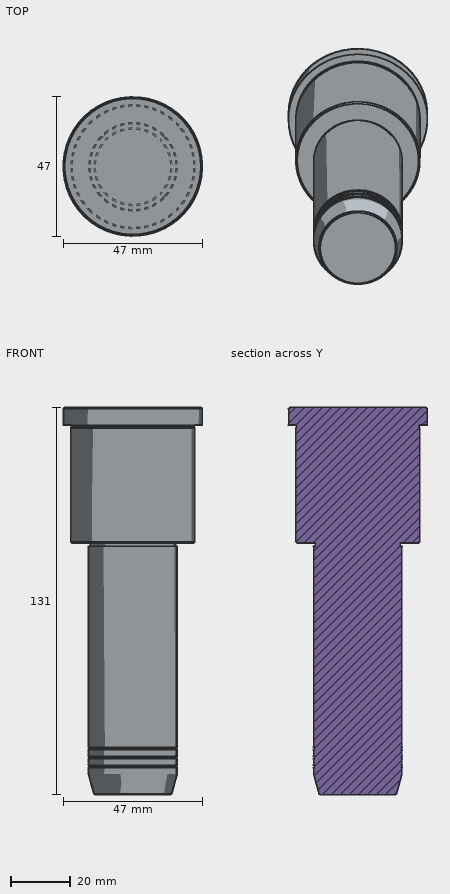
import cadquery as cq

total_length = 131.0
head_diameter = 47.0
head_height = 6.0
head_chamfer = 0.5
body_diameter = 42.0
body_end_depth = 46.0
body_chamfer = 0.5
pin_diameter = 30.0

relief_depth = 0.4
relief_width = 1.0
body_neck_diameter = 29.0
body_neck_width = 1.0

tip_diameter = 26.2
tip_height = 7.0
tip_chamfer = 0.4

groove_depth = 0.3
groove_width = 0.9
groove_pitch = 3.0
groove_count = 3
first_groove_z = 9.5

head_bottom_z = total_length - head_height
body_bottom_z = total_length - body_end_depth
overlap = 1.3


def cylinder(diameter, bottom_z, top_z):
    return cq.Workplane("XY").workplane(offset=bottom_z).circle(diameter / 2).extrude(top_z - bottom_z)


def ring(outer_diameter, floor_diameter, bottom_z, width):
    """Ring that cuts a square groove down to floor_diameter."""
    outer = cylinder(outer_diameter + 2 * overlap, bottom_z, bottom_z + width)
    return outer.cut(cylinder(floor_diameter, bottom_z, bottom_z + width))


def v_groove(diameter, centre_z, width, depth):
    """Revolved triangle that cuts a V into a cylinder of this diameter, squared off outside the surface."""
    surface_radius = diameter / 2
    half_width = width / 2
    return (
        cq.Workplane("XZ")
        .moveTo(surface_radius - depth, centre_z)
        .lineTo(surface_radius, centre_z + half_width)
        .lineTo(surface_radius + overlap, centre_z + half_width)
        .lineTo(surface_radius + overlap, centre_z - half_width)
        .lineTo(surface_radius, centre_z - half_width)
        .close()
        .revolve(360, (0, 0, 0), (0, 1, 0))
    )


head = cylinder(head_diameter, head_bottom_z, total_length).faces(">Z").chamfer(head_chamfer)
body = cylinder(body_diameter, body_bottom_z, head_bottom_z).faces("<Z").chamfer(body_chamfer)

pin = cylinder(pin_diameter, tip_height, body_bottom_z)
tip = (
    cq.Workplane("XY")
    .circle(tip_diameter / 2)
    .workplane(offset=tip_height)
    .circle(pin_diameter / 2)
    .loft(ruled=True)
    .faces("<Z")
    .chamfer(tip_chamfer)
)

result = head.union(body).union(pin).union(tip)

relief_z = head_bottom_z - relief_width / 2
result = result.cut(v_groove(body_diameter, relief_z, relief_width, relief_depth))
result = result.cut(
    ring(pin_diameter, body_neck_diameter, body_bottom_z - body_neck_width, body_neck_width)
)

for index in range(groove_count):
    groove_z = first_groove_z + index * groove_pitch
    result = result.cut(v_groove(pin_diameter, groove_z, groove_width, groove_depth))